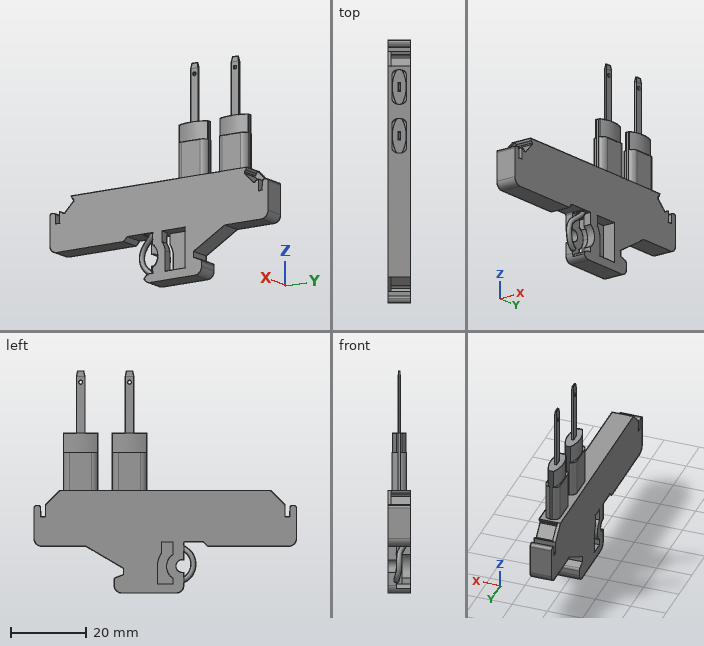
import cadquery as cq
import math


length = 70.0
thickness = 6.1
half_length = length / 2
half_thickness = thickness / 2
top_z = 27.4
bar_bottom_z = 12.45
bottom_round = 2.1

end_chamfer = 3.8
slot_inner_y = 31.9
slot_bottom_y = 33.1
slot_bottom_z = 20.4
hook_top_z = 23.4
hook_inner_y = 33.25
hook_inner_round = 0.6
hook_outer_round = 0.7

groove_lip = 0.9
groove_wall = ((0.3, 0.7), (0.7, 1.2), (0.7, 1.6))

foot_front_y = -5.0
foot_ceiling_z = 13.65
foot_ceiling_end_y = -10.15
foot_step_y = -11.35
foot_corner_round = 0.35
foot_slope_start_y = 21.15
neck_y = 11.1
neck_top_z = 6.6
neck_bottom_z = 5.0
toe_y = 13.65
toe_top_z = 4.0
toe_round = 0.7
notch_radius = 1.7
notch_center_y = -4.55
notch_center_z = 7.2

plate_inner_x = -0.735
hollow_back_y = 8.4
floor_z = 2.45
floor_round = 2.1

tongue_inner_x = 0.735
tongue_front_y = -2.0
tongue_back_y = 2.0
tongue_root_back_y = 1.0
tongue_arc_center_y = -4.1
tongue_arc_center_z = 7.15
tongue_arc_radius = 3.8
tongue_back_arc_radius = 6.2

plug_places_y = (22.55, 9.5)
plug_length = 9.1
plug_base_width = 4.0
plug_base_height = 10.15
plug_corner_round = 1.6
cap_width = 3.7
cap_end_width = 1.5
cap_height = 5.1
rib_width = 0.6
rib_projection = 0.1

blade_width = 2.3
blade_thickness = 0.6
blade_straight_height = 15.1
blade_tip_height = 1.5
blade_tip_width = 1.7
blade_tip_thickness = 0.35
blade_hole_diameter = 1.0
blade_hole_drop = 1.55

wire_diameter = 1.4
loop_radius = 4.7
loop_center_y = -2.8
loop_center_z = 7.7
wire_stations = ((62, 0.7), (38, 0.15), (10, 0.0), (-20, -0.15), (-45, -0.5), (-68, -0.8))
wire_anchor_x = 1.55
wire_anchor_y = -2.95
wire_anchor_depth = 0.55


def side_prism(outline, x_start, x_end):
    """Prism of a closed YZ outline between two X positions."""
    return outline.extrude(x_end - x_start).translate((x_start, 0, 0))


def block(x_range, y_range, z_range):
    size = [high - low for low, high in (x_range, y_range, z_range)]
    return cq.Workplane("XY").box(*size, centered=False).translate((x_range[0], y_range[0], z_range[0]))


def round_edge(body, y, z, radius):
    """Round the X-parallel edge that passes through (y, z)."""
    reach = 0.035
    edge_box = cq.selectors.BoxSelector(
        (-thickness, y - reach, z - reach), (thickness, y + reach, z + reach)
    )
    return body.edges(edge_box).fillet(radius)


def profile_body():
    shoulder_y = slot_inner_y - end_chamfer
    shoulder_z = top_z - end_chamfer
    end_points = [
        (shoulder_y, top_z),
        (slot_inner_y, shoulder_z),
        (slot_inner_y, slot_bottom_z),
        (slot_bottom_y, slot_bottom_z),
        (hook_inner_y, hook_top_z),
        (half_length, hook_top_z),
        (half_length, bar_bottom_z),
    ]
    foot_points = [
        (foot_slope_start_y, bar_bottom_z),
        (neck_y, neck_top_z),
        (neck_y, neck_bottom_z),
        (toe_y, toe_top_z),
        (toe_y, 0),
        (foot_front_y, 0),
        (foot_front_y, foot_ceiling_z),
        (foot_ceiling_end_y, foot_ceiling_z),
        (foot_step_y, bar_bottom_z),
    ]
    mirrored_end = [(-y, z) for y, z in reversed(end_points)]
    outline = cq.Workplane("YZ").polyline(end_points + foot_points + mirrored_end).close()
    body = side_prism(outline, -half_thickness, half_thickness)

    for side in (1, -1):
        body = round_edge(body, side * half_length, bar_bottom_z, bottom_round)
        body = round_edge(body, side * half_length, hook_top_z, hook_outer_round)
        body = round_edge(body, side * hook_inner_y, hook_top_z, hook_inner_round)
    body = round_edge(body, toe_y, 0, bottom_round)
    body = round_edge(body, toe_y, toe_top_z, toe_round)
    body = round_edge(body, foot_front_y, 0, bottom_round)
    return round_edge(body, foot_front_y, foot_ceiling_z, foot_corner_round)


def label_groove(side):
    """Groove across the slope at one end (side +1 or -1), symmetric about the middle of the slope."""
    inner_y = slot_inner_y - end_chamfer
    outer_z = top_z - end_chamfer
    upper_wall = [(inner_y - inward, top_z - down) for inward, down in groove_wall]
    lower_wall = [(slot_inner_y - down, outer_z - inward) for inward, down in reversed(groove_wall)]
    points = [(inner_y, top_z), *upper_wall, *lower_wall, (slot_inner_y, outer_z)]
    outline = cq.Workplane("YZ").polyline([(side * y, z) for y, z in points]).close()
    return side_prism(outline, -half_thickness + groove_lip, half_thickness)


def foot_notch():
    circle = cq.Workplane("YZ").center(notch_center_y, notch_center_z).circle(notch_radius)
    mouth = block(
        (-half_thickness, half_thickness),
        (foot_front_y, notch_center_y),
        (notch_center_z - notch_radius, notch_center_z + notch_radius),
    )
    return side_prism(circle, -half_thickness, half_thickness).union(mouth)


def foot_hollow():
    """Space behind the foot plate; it leaves a floor whose front edge is rounded."""
    hollow = block(
        (plate_inner_x, half_thickness), (foot_front_y, hollow_back_y), (floor_z, foot_ceiling_z)
    )
    edge_stock = block(
        (plate_inner_x, half_thickness),
        (foot_front_y, foot_front_y + floor_round),
        (floor_z - floor_round, floor_z),
    )
    edge_circle = (
        cq.Workplane("YZ")
        .center(foot_front_y + floor_round, floor_z - floor_round)
        .circle(floor_round)
    )
    edge_round = side_prism(edge_circle, plate_inner_x, half_thickness)
    return hollow.union(edge_stock.cut(edge_round))


def tongue_outline():
    arc_half_height = math.sqrt(tongue_arc_radius**2 - (tongue_front_y - tongue_arc_center_y) ** 2)
    arc_apex = (tongue_arc_center_y + tongue_arc_radius, tongue_arc_center_z)

    def back_arc_z(y):
        return tongue_arc_center_z + math.sqrt(tongue_back_arc_radius**2 - (y - tongue_arc_center_y) ** 2)

    back_middle_y = (tongue_back_y + tongue_root_back_y) / 2
    return (
        cq.Workplane("YZ")
        .moveTo(tongue_front_y, floor_z)
        .lineTo(tongue_front_y, tongue_arc_center_z - arc_half_height)
        .threePointArc(arc_apex, (tongue_front_y, tongue_arc_center_z + arc_half_height))
        .lineTo(tongue_front_y, foot_ceiling_z)
        .lineTo(tongue_root_back_y, foot_ceiling_z)
        .lineTo(tongue_root_back_y, back_arc_z(tongue_root_back_y))
        .threePointArc(
            (back_middle_y, back_arc_z(back_middle_y)), (tongue_back_y, back_arc_z(tongue_back_y))
        )
        .lineTo(tongue_back_y, floor_z)
        .close()
    )


def make_housing():
    window = side_prism(tongue_outline(), -half_thickness, plate_inner_x)
    tongue = side_prism(tongue_outline(), tongue_inner_x, half_thickness)
    body = profile_body().cut(foot_notch()).cut(foot_hollow()).cut(window).union(tongue)
    for side in (1, -1):
        body = body.cut(label_groove(side))
    return body


def cap_outline():
    """Lens with blunt ends and two bowed sides."""
    half_cap = plug_length / 2
    end_x = cap_end_width / 2
    return (
        cq.Workplane("XY")
        .moveTo(end_x, -half_cap)
        .threePointArc((cap_width / 2, 0), (end_x, half_cap))
        .lineTo(-end_x, half_cap)
        .threePointArc((-cap_width / 2, 0), (-end_x, -half_cap))
        .close()
    )


def make_plug(y):
    base = (
        cq.Workplane("XY")
        .rect(plug_base_width, plug_length)
        .extrude(plug_base_height)
        .edges("|Z")
        .fillet(plug_corner_round)
    )
    cap = cap_outline().extrude(cap_height).translate((0, 0, plug_base_height))
    end_ribs = (
        cq.Workplane("XY")
        .rect(rib_width, plug_length + 2 * rib_projection)
        .extrude(plug_base_height + cap_height)
    )
    return base.union(cap).union(end_ribs).translate((0, y, top_z))


def make_blade(y):
    shank = cq.Workplane("XY").rect(blade_thickness, blade_width).extrude(blade_straight_height)
    tip = (
        cq.Workplane("XY", origin=(0, 0, blade_straight_height))
        .rect(blade_thickness, blade_width)
        .workplane(offset=blade_tip_height)
        .rect(blade_tip_thickness, blade_tip_width)
        .loft(ruled=True)
    )
    hole = (
        cq.Workplane("YZ")
        .center(0, blade_straight_height - blade_hole_drop)
        .circle(blade_hole_diameter / 2)
        .extrude(blade_thickness, both=True)
    )
    plug_top_z = top_z + plug_base_height + cap_height
    return shank.union(tip).cut(hole).translate((0, y, plug_top_z))


def make_wire(housing):
    """Loop from the hollow's ceiling to the foot plate, its ends trimmed flush with the housing."""
    path_points = [cq.Vector(wire_anchor_x, wire_anchor_y, foot_ceiling_z + wire_anchor_depth)]
    for angle, x in wire_stations:
        y = loop_center_y - loop_radius * math.cos(math.radians(angle))
        z = loop_center_z + loop_radius * math.sin(math.radians(angle))
        path_points.append(cq.Vector(x, y, z))
    path = cq.Workplane("XY").spline(path_points)
    section_plane = cq.Plane(origin=path_points[0], normal=path.val().tangentAt(0))
    wire = cq.Workplane(section_plane).circle(wire_diameter / 2).sweep(path)
    return wire.cut(housing)


housing = make_housing()
plugs = [make_plug(y) for y in plug_places_y]
blades = [make_blade(y) for y in plug_places_y]
wire_loop = make_wire(housing)

result = cq.Compound.makeCompound(
    [
        housing.solids().val(),
        *[plug.solids().val() for plug in plugs],
        *[blade.solids().val() for blade in blades],
        wire_loop.solids().val(),
    ]
)